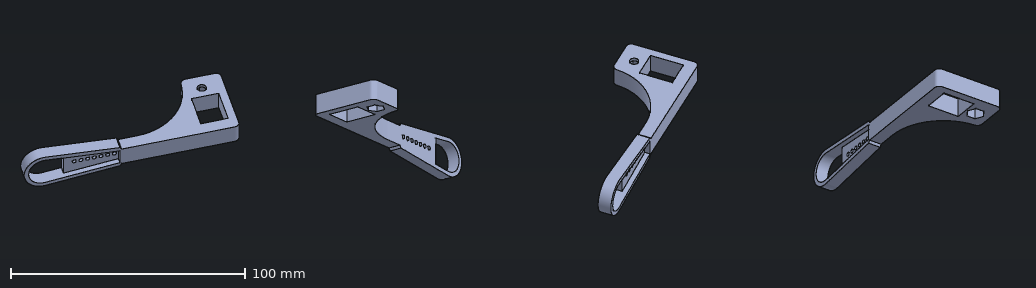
import cadquery as cq
import math

length = 95.7
width = 33.0
loop_diameter = 17.5

plate_thickness = 9.0
corner_radius = 2.4
strap_width = 6.0
sweep_radius = 26.2
sweep_center_y = 51.7

window_size_x = 15.3
window_size_y = 12.1
window_margin_right = 5.7
window_margin_top = 3.8
bolt_diameter = 3.9
bolt_from_left = 7.0
nut_across_flats = 7.0
nut_pocket_roof = 1.5
nut_turn_angle = 30
bolt_from_top = 10.0

shoulder_start_y = 43.2
shoulder_end_y = 42.4
shoulder_half_height = 5.65
loop_wall = 2.0
loop_opening_y = 18.1
web_thickness = 3.5

pin_diameter = 1.7
pin_count = 7
pin_pitch = 3.0
pin_row_center_y = 31.8

strap_x = width - strap_width
loop_radius = loop_diameter / 2
loop_center_y = loop_radius

shoulder_distance = math.hypot(shoulder_end_y - loop_center_y, shoulder_half_height)
taper_angle = math.asin(loop_radius / shoulder_distance) - math.atan2(
    shoulder_half_height, shoulder_end_y - loop_center_y
)


def make_plate():
    """Head and strap joined by a quarter-round sweep."""
    sweep_center_x = strap_x - sweep_radius
    corner_y = sweep_center_y + math.sqrt(sweep_radius**2 - sweep_center_x**2)
    middle_offset = sweep_radius * math.sqrt(0.5)
    plate = (
        cq.Workplane("XY")
        .workplane(offset=-plate_thickness / 2)
        .moveTo(0, length)
        .lineTo(width, length)
        .lineTo(width, shoulder_end_y)
        .lineTo(strap_x, shoulder_end_y)
        .lineTo(strap_x, sweep_center_y)
        .threePointArc(
            (sweep_center_x + middle_offset, sweep_center_y + middle_offset),
            (0, corner_y),
        )
        .close()
        .extrude(plate_thickness)
    )
    return plate.edges("(|Z and >Y) or (|Z and <X)").fillet(corner_radius)


def tapered_loop(radius, wide_y, shoulder=(), start_x=strap_x):
    """Solid from start_x to the right side: a round end with tangent tapered sides up to wide_y."""
    tangent_y = loop_center_y + radius * math.sin(taper_angle)
    tangent_z = radius * math.cos(taper_angle)
    end_z = tangent_z - (wide_y - tangent_y) * math.tan(taper_angle)
    upper = [(wide_y, end_z), *shoulder]
    lower = [(y, -z) for y, z in reversed(upper)]
    return (
        cq.Workplane("YZ")
        .workplane(offset=start_x)
        .moveTo(tangent_y, -tangent_z)
        .threePointArc((loop_center_y - radius, 0), (tangent_y, tangent_z))
        .polyline(upper + lower, includeCurrent=True)
        .close()
        .extrude(width - start_x)
    )


def make_paddle():
    """Paddle with a sloped shoulder, a loop opening, a recessed right side and a row of pin holes."""
    shoulder = [(shoulder_start_y, plate_thickness / 2)]
    paddle = tapered_loop(loop_radius, shoulder_end_y, shoulder)
    inner_radius = loop_radius - loop_wall
    opening = tapered_loop(inner_radius, loop_opening_y)
    recess = tapered_loop(inner_radius, shoulder_end_y, start_x=strap_x + web_thickness)
    pins = (
        cq.Workplane("YZ")
        .workplane(offset=strap_x)
        .center(pin_row_center_y, 0)
        .rarray(pin_pitch, 1, pin_count, 1)
        .circle(pin_diameter / 2)
        .extrude(strap_width)
    )
    return paddle.cut(opening).cut(recess).cut(pins)


def make_plate_openings():
    """Rectangular window, and a bolt hole with a hexagonal nut pocket underneath."""
    window = cq.Workplane("XY").box(window_size_x, window_size_y, plate_thickness).translate(
        (
            width - window_margin_right - window_size_x / 2,
            length - window_margin_top - window_size_y / 2,
            0,
        )
    )
    bolt = (
        cq.Workplane("XY")
        .center(bolt_from_left, length - bolt_from_top)
        .circle(bolt_diameter / 2)
        .extrude(plate_thickness / 2, both=True)
    )
    nut_pocket = (
        cq.Workplane("XY")
        .workplane(offset=-plate_thickness / 2)
        .center(bolt_from_left, length - bolt_from_top)
        .transformed(rotate=(0, 0, nut_turn_angle))
        .polygon(6, nut_across_flats, circumscribed=True)
        .extrude(plate_thickness - nut_pocket_roof)
    )
    return window.union(bolt).union(nut_pocket)


result = make_plate().cut(make_plate_openings()).union(make_paddle())